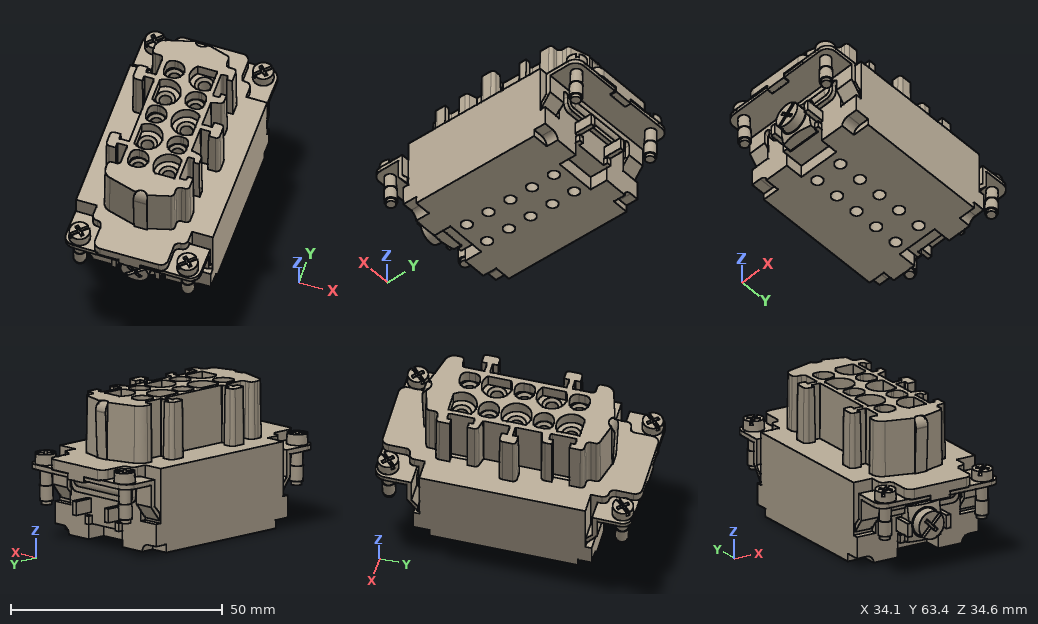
import cadquery as cq
import math

WIDTH = 34.13
LENGTH = 63.4
HEIGHT = 34.55

BODY_TOP = 20.7
BODY_END = 21.8
FLANGE_BOTTOM = 18.1
FLANGE_HALF_WIDTH = 9.1
FLANGE_STEP_Y = 24.3
FLANGE_CORNER_RADIUS = 1.8
FLANGE_INNER_RADIUS = 1.3
FLANGE_OUTER_RADIUS = 1.4
CORNER_X = 11.85
CORNER_POCKET_Y = 20.25
CORNER_POCKET_FLOOR = 7.4
FLANGE_TAB_WIDTH = 5.4
FLANGE_TAB_BOTTOM = 16.7
FLANGE_TAB_LENGTH = 1.8

FOOT_RADIUS = 2.0
FOOT_CENTER_X = 14.4
FOOT_DEPTH_FRONT = 4.0
FOOT_DEPTH_BACK = 3.4
FOOT_SLOT_WIDTH = 11.4
FOOT_SLOT_HEIGHT = 4.0
FOOT_SLOT_DEPTH = 5.0

GUARD_INNER_X = 4.8
GUARD_OUTER_X = 6.0
GUARD_REACH = 26.8
GUARD_BOTTOM = 6.75
GUARD_TOP = 10.1
LEDGE_INNER_X = 4.5
LEDGE_TOP = 6.0
LEDGE_REACH = 23.0

TERMINAL_SIZE = 9.0
TERMINAL_Z = 8.85
TERMINAL_FACE_Y = 25.1
TERMINAL_CONE_RADIUS = 3.8
TERMINAL_CONE_DROP = 0.9
TERMINAL_SCREW_DIAMETER = 7.0
TERMINAL_SCREW_HEAD_END = 27.8

SHEET = 1.2
PLATE_TOP = 18.3
PLATE_BOTTOM = PLATE_TOP - SHEET
PLATE_HALF_WIDTH = 16.85
PLATE_REACH = 31.4
PLATE_CORNER_RADIUS = 2.6
BRACKET_BACK_Y = 22.0
BRACKET_FACE_Y = BRACKET_BACK_Y + SHEET
BRACKET_SKEW = -0.7
BRACKET_SHIFT_X = -0.08
CENTER_LEG_HALF_WIDTH = 10.4
CENTER_LEG_BOTTOM = 11.35
CENTER_LEG_RADIUS = 1.8
SIDE_LEG_SLOT_TOP = 15.7
SLOT_TOP_FLAT = 0.02
LEG_BEND_Z = 11.8
LEG_TIP_Y = 20.4
LEG_TIP_TOP = 10.0
LEG_TIP_BOTTOM = 8.1
BEAD_LENGTH = 18.9
BEAD_HEIGHT = 2.6
BEAD_RISE = 0.5
BEAD_Z = 14.0

SCREW_X = 13.5
SCREW_Y = 28.6
SCREW_TILT = 1.5
SCREW_HEAD_TOP = 20.9
SCREW_HEAD_DIAMETER = 5.1
SCREW_HEAD_TOP_DIAMETER = 4.9
SCREW_NECK_DIAMETER = 2.9
SCREW_THREAD_DIAMETER = 3.2
SCREW_THREAD_TOP = 13.1
SCREW_THREAD_BOTTOM = 9.35
SCREW_TIP_DIAMETER = 2.5
SCREW_TIP_BOTTOM = 8.4
DRIVE_ANGLE = 45
DRIVE_WIDTH = 0.75
DRIVE_DEPTH = 1.0
DRIVE_SHORT_RATIO = 0.6

TOWER_DRAFT = 0.7
TOWER_HEIGHT = HEIGHT - BODY_TOP
WALL_X = 7.6
APEX_Y = 23.2
RIB_HEAD_INNER_X = 9.75
LEFT_RIB_Y = 10.05
RIB_NECK_HALF = 0.85
RIB_HEAD_HALF = 2.2
RIB_HEAD_LEFT_X = -12.55
RIB_HEAD_RIGHT_X = 12.62
RIB_HEAD_RADIUS = 1.0
HOOK_X = 10.45
HOOK_TOP_Y = 18.2
HOOK_BOTTOM_Y = 7.8
HOOK_ROOT_Y = 7.05
HOOK_RADIUS = 1.0
HOOK_FILLET = 0.9
SHOULDER_X = -10.5
SHOULDER_Y = 16.1
SHOULDER_RADIUS = 1.1
SHOULDER_FILLET = 0.7
END_SLOPE = 0.28
END_LEFT_RADIUS = 2.65
END_RIGHT_RADIUS = 1.0

T_SLOT_Y = 12.45
T_SLOT_INNER_X = 7.2
T_SLOT_OUTER_X = 8.9
T_SLOT_LENGTH = 6.4
T_SLOT_MOUTH = 4.3
T_SLOT_SINK = 1.0
T_SLOT_CORNER_RADIUS = 0.4

KEY_WIDTH = 3.3
KEY_TOP_Y = 23.45
KEY_BASE_Y = 22.95
KEY_ROUND = 2.4
KEY_NOSE_Y = 21.6
KEY_FRONT_SHIFT = 0.15

COLUMN_X = 3.75
ROW_PITCH = 6.7
END_ROW = 2
CAVITY_WALL_X = 6.1
CAVITY_DEPTH = 3.1
CAVITY_END_Y = 16.05
LARGE_CAVITY_RADIUS = 3.65
SMALL_CAVITY_RADIUS = 2.43
SMALL_CAVITY_CORNER_RADIUS = 1.7
FUNNEL_RADIUS = 2.3
FUNNEL_DEPTH = 0.6
CONTACT_RADIUS = 1.48


def box(x0, x1, y0, y1, z0, z1):
    """Axis-aligned block between the given limits."""
    return cq.Workplane("XY").box(x1 - x0, y1 - y0, z1 - z0, centered=False).translate((x0, y0, z0))


def rounded_outline(corners, plane="XY"):
    """Closed outline through (x, y, radius) corners, each rounded by a tangent arc."""
    starts, middles, ends = [], [], []
    count = len(corners)
    for i, (x, y, radius) in enumerate(corners):
        corner = cq.Vector(x, y)
        to_last = (cq.Vector(*corners[i - 1][:2]) - corner).normalized()
        to_next = (cq.Vector(*corners[(i + 1) % count][:2]) - corner).normalized()
        half_angle = to_last.getAngle(to_next) / 2
        setback = radius / math.tan(half_angle)
        bisector = (to_last + to_next).normalized()
        starts.append(corner + to_last * setback)
        middles.append(corner + bisector * (radius / math.sin(half_angle) - radius))
        ends.append(corner + to_next * setback)
    outline = cq.Workplane(plane).moveTo(ends[0].x, ends[0].y)
    for i in list(range(1, count)) + [0]:
        outline = outline.lineTo(starts[i].x, starts[i].y)
        if corners[i][2] > 0:
            outline = outline.threePointArc((middles[i].x, middles[i].y), (ends[i].x, ends[i].y))
    return outline.close()


def both_ends(shape):
    """A shape at the +Y end together with its half-turn copy at the -Y end."""
    return shape.union(shape.rotate((0, 0, 0), (0, 0, 1), 180))


def both_sides(shape):
    """A shape together with its mirror image across the YZ plane."""
    return shape.union(shape.mirror("YZ"))


def make_flange():
    quarter = [
        (WIDTH / 2, BODY_END, 0),
        (CORNER_X, BODY_END, 0),
        (CORNER_X, FLANGE_STEP_Y, FLANGE_OUTER_RADIUS),
        (FLANGE_HALF_WIDTH, FLANGE_STEP_Y, FLANGE_INNER_RADIUS),
        (FLANGE_HALF_WIDTH, LENGTH / 2, FLANGE_CORNER_RADIUS),
    ]
    half = quarter + [(-x, y, r) for x, y, r in reversed(quarter)]
    corners = half + [(-x, -y, r) for x, y, r in half]
    flange = rounded_outline(corners).extrude(BODY_TOP - FLANGE_BOTTOM).translate((0, 0, FLANGE_BOTTOM))
    half_tab = FLANGE_TAB_WIDTH / 2
    tab_back = LENGTH / 2 - FLANGE_TAB_LENGTH
    tab = box(-half_tab, half_tab, tab_back, LENGTH / 2, FLANGE_TAB_BOTTOM, FLANGE_BOTTOM)
    return flange.union(both_ends(tab))


def foot_notch(depth):
    """Round-sided notch under the +X side of the +Y end."""
    side = box(FOOT_CENTER_X, WIDTH / 2, BODY_END - depth, BODY_END, 0, FOOT_RADIUS)
    round_side = (
        cq.Workplane("XZ").center(FOOT_CENTER_X, 0).circle(FOOT_RADIUS)
        .extrude(-depth).translate((0, BODY_END - depth, 0))
    )
    return both_sides(side.union(round_side))


def make_body():
    half_width = WIDTH / 2
    body = box(-half_width, half_width, -BODY_END, BODY_END, 0, BODY_TOP).union(make_flange())
    pocket = box(CORNER_X, half_width, CORNER_POCKET_Y, LENGTH / 2, CORNER_POCKET_FLOOR, BODY_TOP)
    half_slot = FOOT_SLOT_WIDTH / 2
    foot_slot = box(-half_slot, half_slot, BODY_END - FOOT_SLOT_DEPTH, BODY_END, 0, FOOT_SLOT_HEIGHT)
    body = body.cut(both_ends(both_sides(pocket))).cut(both_ends(foot_slot))
    body = body.cut(foot_notch(FOOT_DEPTH_BACK))
    body = body.cut(foot_notch(FOOT_DEPTH_FRONT).mirror("XZ"))
    guard = box(GUARD_INNER_X, GUARD_OUTER_X, BODY_END, GUARD_REACH, GUARD_BOTTOM, GUARD_TOP)
    ledge = box(LEDGE_INNER_X, half_slot, BODY_END, LEDGE_REACH, FOOT_SLOT_HEIGHT, LEDGE_TOP)
    return body.union(both_ends(both_sides(guard.union(ledge))))


def drive_cutter(head_diameter):
    """Cross recess below the XY plane: one full-width slot and one short slot."""
    long_slot = cq.Workplane("XY").rect(head_diameter, DRIVE_WIDTH).extrude(-DRIVE_DEPTH)
    short_slot = cq.Workplane("XY").rect(DRIVE_WIDTH, head_diameter * DRIVE_SHORT_RATIO).extrude(-DRIVE_DEPTH)
    return long_slot.union(short_slot).rotate((0, 0, 0), (0, 0, 1), DRIVE_ANGLE)


def make_fixing_screw():
    """Turned screw hanging through the bracket plate, its tip leaning towards the body."""
    profile = [
        (0, SCREW_TIP_BOTTOM),
        (SCREW_TIP_DIAMETER / 2, SCREW_TIP_BOTTOM),
        (SCREW_TIP_DIAMETER / 2, SCREW_THREAD_BOTTOM),
        (SCREW_THREAD_DIAMETER / 2, SCREW_THREAD_BOTTOM),
        (SCREW_THREAD_DIAMETER / 2, SCREW_THREAD_TOP),
        (SCREW_NECK_DIAMETER / 2, SCREW_THREAD_TOP),
        (SCREW_NECK_DIAMETER / 2, PLATE_TOP),
        (SCREW_HEAD_DIAMETER / 2, PLATE_TOP),
        (SCREW_HEAD_TOP_DIAMETER / 2, SCREW_HEAD_TOP),
        (0, SCREW_HEAD_TOP),
    ]
    screw = cq.Workplane("XZ").polyline(profile).close().revolve(360, (0, 0, 0), (0, 1, 0))
    screw = screw.cut(drive_cutter(SCREW_HEAD_DIAMETER).translate((0, 0, SCREW_HEAD_TOP)))
    return screw.rotate((0, 0, PLATE_TOP), (1, 0, PLATE_TOP), -SCREW_TILT)


def make_bead():
    """Stiffening bead: the part of a buried round-ended bar that stands proud of the centre leg."""
    half_height = BEAD_HEIGHT / 2
    bar_radius = (half_height**2 + BEAD_RISE**2) / (2 * BEAD_RISE)
    half_bar = BEAD_LENGTH / 2 - half_height
    bead = cq.Workplane("YZ").circle(bar_radius).extrude(half_bar, both=True)
    for x in (-half_bar, half_bar):
        bead = bead.union(cq.Workplane("XY").sphere(bar_radius).translate((x, 0, 0)))
    bead = bead.translate((0, BRACKET_FACE_Y + BEAD_RISE - bar_radius, BEAD_Z))
    half_length = BEAD_LENGTH / 2
    proud = box(-half_length, half_length, BRACKET_BACK_Y, PLATE_REACH, CENTER_LEG_BOTTOM, PLATE_BOTTOM)
    return bead.intersect(proud)


def make_bracket():
    """Bracket of the +Y end: plate, centre leg with bead, bent side legs and two screws."""
    plate_corners = [
        (-PLATE_HALF_WIDTH, BRACKET_BACK_Y, 0),
        (PLATE_HALF_WIDTH, BRACKET_BACK_Y, 0),
        (PLATE_HALF_WIDTH, PLATE_REACH, PLATE_CORNER_RADIUS),
        (-PLATE_HALF_WIDTH, PLATE_REACH, PLATE_CORNER_RADIUS),
    ]
    plate = rounded_outline(plate_corners).extrude(SHEET).translate((0, 0, PLATE_BOTTOM))

    slot_radius = (CORNER_X - CENTER_LEG_HALF_WIDTH) / 2 - SLOT_TOP_FLAT
    leg_corners = [
        (CENTER_LEG_HALF_WIDTH, CENTER_LEG_BOTTOM, CENTER_LEG_RADIUS),
        (CENTER_LEG_HALF_WIDTH, SIDE_LEG_SLOT_TOP, slot_radius),
        (CORNER_X, SIDE_LEG_SLOT_TOP, slot_radius),
        (CORNER_X, LEG_BEND_Z, 0),
        (PLATE_HALF_WIDTH, LEG_BEND_Z, 0),
        (PLATE_HALF_WIDTH, PLATE_TOP, 0),
    ]
    leg_corners += [(-x, z, r) for x, z, r in reversed(leg_corners)]
    wall = rounded_outline(leg_corners, "XZ").extrude(-SHEET).translate((0, BRACKET_BACK_Y, 0))

    bend_profile = [
        (BRACKET_FACE_Y, LEG_BEND_Z),
        (BRACKET_BACK_Y, LEG_BEND_Z),
        (LEG_TIP_Y, LEG_TIP_TOP),
        (LEG_TIP_Y, LEG_TIP_BOTTOM),
    ]
    bend = cq.Workplane("YZ").polyline(bend_profile).close().extrude(PLATE_HALF_WIDTH - CORNER_X)
    bends = both_sides(bend.translate((CORNER_X, 0, 0)))

    screw = make_fixing_screw()
    bracket = plate.union(wall).union(bends).union(make_bead())
    for x in (-SCREW_X, SCREW_X):
        bracket = bracket.union(screw.translate((x, SCREW_Y, 0)))
    bracket = bracket.rotate((0, PLATE_REACH, 0), (0, PLATE_REACH, 1), BRACKET_SKEW)
    return bracket.translate((BRACKET_SHIFT_X, 0, 0))


def make_earth_terminal():
    """Square terminal block with a coned face and a cross-recessed screw, on the -Y end."""
    block_length = TERMINAL_FACE_Y - BODY_END
    cone_slope = (TERMINAL_SIZE / math.sqrt(2) - TERMINAL_CONE_RADIUS) / TERMINAL_CONE_DROP
    cone_base_radius = TERMINAL_CONE_RADIUS + cone_slope * block_length
    cone_profile = [
        (0, 0),
        (cone_base_radius, 0),
        (TERMINAL_CONE_RADIUS, block_length),
        (0, block_length),
    ]
    cone = cq.Workplane("XZ").polyline(cone_profile).close().revolve(360, (0, 0, 0), (0, 1, 0))
    block = cq.Workplane("XY").rect(TERMINAL_SIZE, TERMINAL_SIZE).extrude(block_length).intersect(cone)
    head_end = TERMINAL_SCREW_HEAD_END - BODY_END
    head = cq.Workplane("XY").circle(TERMINAL_SCREW_DIAMETER / 2).extrude(head_end)
    head = head.cut(drive_cutter(TERMINAL_SCREW_DIAMETER).translate((0, 0, head_end)))
    terminal = block.union(head).rotate((0, 0, 0), (1, 0, 0), 90)
    return terminal.translate((0, -BODY_END, TERMINAL_Z))


def tower_outline():
    rib_near = LEFT_RIB_Y - RIB_NECK_HALF
    rib_far = LEFT_RIB_Y + RIB_NECK_HALF
    head_near = LEFT_RIB_Y - RIB_HEAD_HALF
    head_far = LEFT_RIB_Y + RIB_HEAD_HALF
    upper_half = [
        (-WALL_X, rib_near, 0),
        (-RIB_HEAD_INNER_X, rib_near, 0),
        (-RIB_HEAD_INNER_X, head_near, 0),
        (RIB_HEAD_LEFT_X, head_near, RIB_HEAD_RADIUS),
        (RIB_HEAD_LEFT_X, head_far, RIB_HEAD_RADIUS),
        (-RIB_HEAD_INNER_X, head_far, 0),
        (-RIB_HEAD_INNER_X, rib_far, 0),
        (-WALL_X, rib_far, 0),
        (-WALL_X, SHOULDER_Y, SHOULDER_FILLET),
        (SHOULDER_X, SHOULDER_Y, SHOULDER_RADIUS),
        (SHOULDER_X, APEX_Y + END_SLOPE * SHOULDER_X, END_LEFT_RADIUS),
        (0, APEX_Y, 0),
        (WALL_X, APEX_Y - END_SLOPE * WALL_X, END_RIGHT_RADIUS),
        (WALL_X, HOOK_TOP_Y, HOOK_FILLET),
        (HOOK_X, HOOK_TOP_Y, HOOK_RADIUS),
        (HOOK_X, HOOK_BOTTOM_Y, HOOK_RADIUS),
        (WALL_X, HOOK_ROOT_Y, 0),
        (WALL_X, RIB_NECK_HALF, 0),
        (RIB_HEAD_INNER_X, RIB_NECK_HALF, 0),
        (RIB_HEAD_INNER_X, RIB_HEAD_HALF, 0),
        (RIB_HEAD_RIGHT_X, RIB_HEAD_HALF, RIB_HEAD_RADIUS),
    ]
    return rounded_outline(upper_half + [(x, -y, r) for x, y, r in reversed(upper_half)])


def key_column():
    """Full-height column of the +Y key: straight sides and a round nose into the tower."""
    half = KEY_WIDTH / 2
    nose = KEY_NOSE_Y + half
    return (
        cq.Workplane("XY").workplane(offset=BODY_TOP).moveTo(-half, KEY_TOP_Y).lineTo(-half, nose)
        .threePointArc((0, KEY_NOSE_Y), (half, nose)).lineTo(half, KEY_TOP_Y).close()
        .extrude(TOWER_HEIGHT)
    )


def make_key():
    profile = (
        cq.Workplane("YZ").moveTo(KEY_NOSE_Y, BODY_TOP).lineTo(KEY_BASE_Y, BODY_TOP)
        .lineTo(KEY_TOP_Y, HEIGHT - KEY_ROUND)
        .radiusArc((KEY_NOSE_Y, HEIGHT), -KEY_ROUND).close()
        .extrude(KEY_WIDTH / 2, both=True)
    )
    return key_column().intersect(profile)


def cavity_mouth(column, row):
    """Opening of one contact cavity, cut off flat by the outer wall of its column."""
    side = 1 if column > 0 else -1
    is_large = (row % 2 == 0) == (side > 0)
    radius = LARGE_CAVITY_RADIUS if is_large else SMALL_CAVITY_RADIUS
    y = row * ROW_PITCH
    floor = HEIGHT - CAVITY_DEPTH
    mouth = cq.Workplane("XY").center(column, y).circle(radius).extrude(CAVITY_DEPTH)
    if is_large and abs(row) == END_ROW:
        corner_y0, corner_y1 = sorted((y, math.copysign(CAVITY_END_Y, y)))
        mouth = mouth.union(box(column, CAVITY_WALL_X, corner_y0, corner_y1, 0, CAVITY_DEPTH))
    if not is_large:
        corner_side = [
            (column, y - radius, 0),
            (side * CAVITY_WALL_X, y - radius, SMALL_CAVITY_CORNER_RADIUS),
            (side * CAVITY_WALL_X, y + radius, SMALL_CAVITY_CORNER_RADIUS),
            (column, y + radius, 0),
        ]
        mouth = mouth.union(rounded_outline(corner_side).extrude(CAVITY_DEPTH))
    window = box(-CAVITY_WALL_X, CAVITY_WALL_X, -CAVITY_END_Y, CAVITY_END_Y, 0, CAVITY_DEPTH)
    return mouth.intersect(window).translate((0, 0, floor))


def contact_bore():
    """Through bore with a funnel at the cavity floor, on the Z axis."""
    floor = HEIGHT - CAVITY_DEPTH
    profile = [
        (0, 0),
        (CONTACT_RADIUS, 0),
        (CONTACT_RADIUS, floor - FUNNEL_DEPTH),
        (FUNNEL_RADIUS, floor),
        (0, floor),
    ]
    return cq.Workplane("XZ").polyline(profile).close().revolve(360, (0, 0, 0), (0, 1, 0))


def make_tower():
    tower = tower_outline().extrude(TOWER_HEIGHT, taper=TOWER_DRAFT).translate((0, 0, BODY_TOP))
    column = key_column()
    key = make_key()
    tower = tower.cut(column).union(key)
    front_shift = (0, -KEY_FRONT_SHIFT, 0)
    tower = tower.cut(column.mirror("XZ").translate(front_shift))
    return tower.union(key.mirror("XZ").translate(front_shift))


def cut_t_slots(part):
    """Undercut slots opening towards +X; they sink slightly into the body top."""
    half_slot = T_SLOT_LENGTH / 2
    half_mouth = T_SLOT_MOUTH / 2
    slot_floor = BODY_TOP - T_SLOT_SINK
    for y in (-T_SLOT_Y, T_SLOT_Y):
        slot = box(T_SLOT_INNER_X, T_SLOT_OUTER_X, y - half_slot, y + half_slot, slot_floor, HEIGHT)
        slot = slot.edges("|Z").fillet(T_SLOT_CORNER_RADIUS)
        mouth = box(T_SLOT_OUTER_X, HOOK_X, y - half_mouth, y + half_mouth, BODY_TOP, HEIGHT)
        part = part.cut(slot).cut(mouth)
    return part


def cut_contacts(part):
    bore = contact_bore()
    for column in (-COLUMN_X, COLUMN_X):
        for row in range(-END_ROW, END_ROW + 1):
            part = part.cut(cavity_mouth(column, row))
            part = part.cut(bore.translate((column, row * ROW_PITCH, 0)))
    return part


housing = make_body().union(make_tower())
housing = cut_contacts(cut_t_slots(housing))
result = housing.union(both_ends(make_bracket())).union(make_earth_terminal())